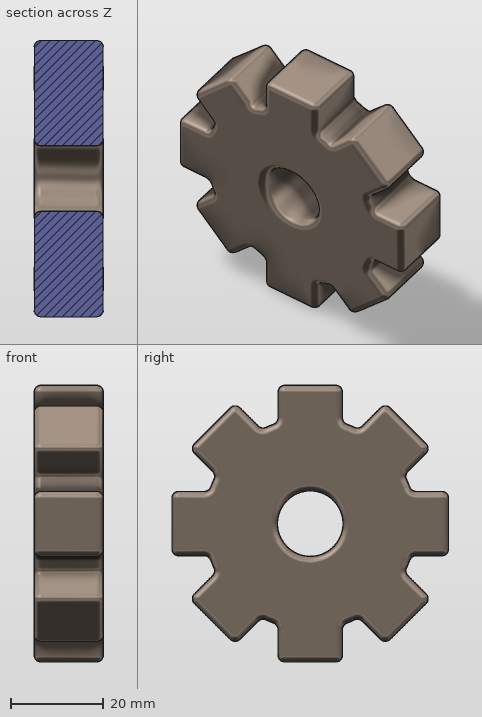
import cadquery as cq

thickness = 15.0
outer_size = 60.0
tooth_count = 8
tooth_width = 14.0
root_diameter = 45.95
bore_diameter = 14.15
edge_radius = 1.5


def star_body():
    """Disc with straight-sided teeth, centred on the origin with its axis along X."""
    body = cq.Workplane("YZ").circle(root_diameter / 2).extrude(thickness / 2, both=True)
    bar = cq.Workplane("XY").box(thickness, tooth_width, outer_size)
    for index in range(tooth_count // 2):
        angle = index * 360 / tooth_count
        body = body.union(bar.rotate((0, 0, 0), (1, 0, 0), angle))
    return body


def round_profile(body):
    """Round the tip corners and the tooth roots, which all run along X."""
    return body.edges("|X").fillet(edge_radius)


def cut_bore(body):
    bore = cq.Workplane("YZ").circle(bore_diameter / 2).extrude(thickness, both=True)
    return body.cut(bore)


def round_face_edges(body):
    """Round the outline and the bore mouth on both flat faces."""
    return body.faces("<X or >X").edges().fillet(edge_radius)


result = round_face_edges(cut_bore(round_profile(star_body()))).solids()